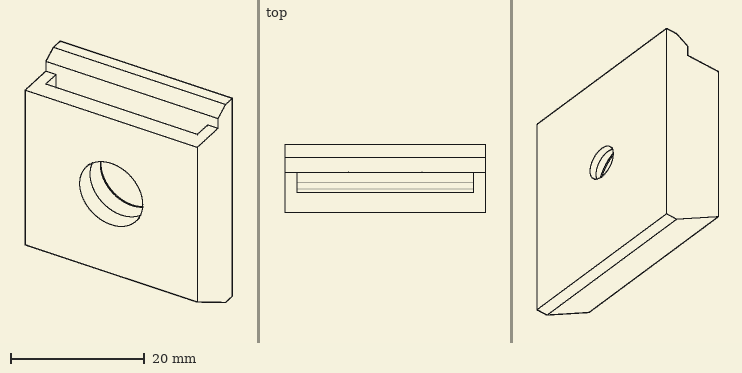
import cadquery as cq
import math

width = 30.0
depth = 10.2
height = 35.5
slope_angle = math.radians(30)
end_flat = 2.0
step_depth = 4.2
shoulder_height = 32.5

pocket_width = 26.4
pocket_front_wall = 3.0
pocket_back = -step_depth
pocket_front = -(depth - pocket_front_wall)
floor_thickness = pocket_front_wall
floor_fillet = 1.0

hole_height = 19.0
access_diameter = 11.0
screw_diameter = 5.4
head_recess = 0.2
countersink_depth = (access_diameter - screw_diameter) / 2


def extrude_across(points, length):
    """Extrude a YZ outline along X, centred on X = 0."""
    return cq.Workplane("YZ").polyline(points).close().extrude(length / 2, both=True)


def make_plate():
    slope = math.tan(slope_angle)
    top_drop = (step_depth - end_flat) * slope
    bottom_rise = (depth - end_flat) * slope
    return extrude_across(
        [
            (0, 0),
            (-end_flat, 0),
            (-depth, bottom_rise),
            (-depth, shoulder_height),
            (-step_depth, shoulder_height),
            (-step_depth, height - top_drop),
            (-end_flat, height),
            (0, height),
        ],
        width,
    )


def make_pocket():
    """Pocket whose floor runs parallel to the bottom bevel, with rounded corners."""
    slope = math.tan(slope_angle)
    floor_rise = floor_thickness / math.cos(slope_angle)
    front_z = (-pocket_front - end_flat) * slope + floor_rise
    rear_z = (-pocket_back - end_flat) * slope + floor_rise
    pocket = extrude_across(
        [
            (pocket_front, shoulder_height),
            (pocket_front, front_z),
            (pocket_back, rear_z),
            (pocket_back, shoulder_height),
        ],
        pocket_width,
    )
    floor_corners = cq.selectors.BoxSelector(
        (-0.35, -depth, 0),
        (0.35, 0, hole_height),
    )
    return pocket.edges("|X").edges(floor_corners).fillet(floor_fillet)


def make_screw_hole():
    """Access bore, countersink and clearance bore along Y."""
    cone_start = pocket_back + head_recess
    cone_end = cone_start + countersink_depth
    profile = (
        cq.Workplane("XY")
        .moveTo(0, -depth)
        .lineTo(access_diameter / 2, -depth)
        .lineTo(access_diameter / 2, cone_start)
        .lineTo(screw_diameter / 2, cone_end)
        .lineTo(screw_diameter / 2, 0)
        .lineTo(0, 0)
        .close()
    )
    return profile.revolve(360, (0, 0, 0), (0, 1, 0)).translate((0, 0, hole_height))


result = make_plate().cut(make_pocket()).cut(make_screw_hole())